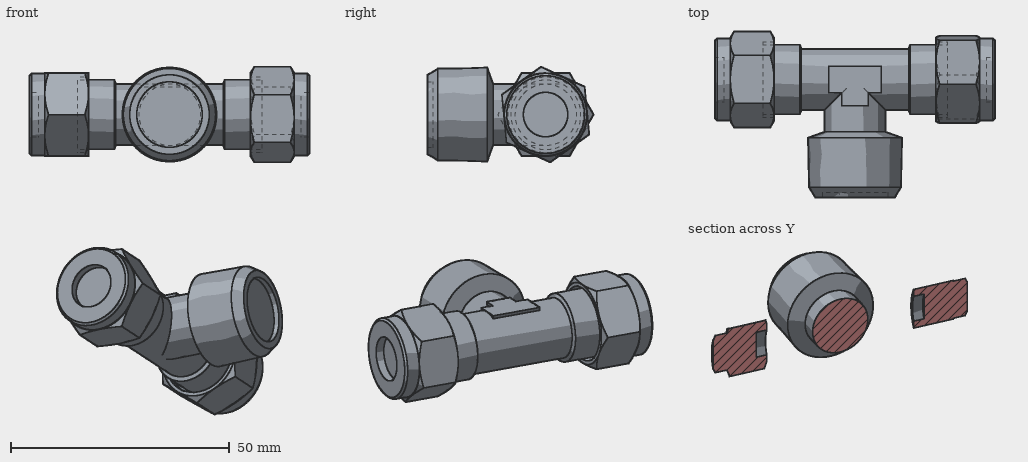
import cadquery as cq
import math

total_length = 64.0
tube_diameter = 14.0
tube_radius = tube_diameter / 2
shoulder_diameter = 15.95
shoulder_start = 12.2
shoulder_cone_length = 0.4
shoulder_cone_height = (shoulder_diameter - tube_diameter) / 2

nut_start = 18.5
nut_width = 10.0
nut_across_flats = 19.0
nut_corner_diameter = nut_across_flats * 2 / math.sqrt(3)
nut_corner_radius = nut_corner_diameter / 2
nut_face_radius = nut_across_flats / 2
nut_chamfer_angle = 30.0
left_nut_turn = 0.0
right_nut_turn = -24.5
nut_recess_radius = 8.65
nut_recess_depth = 2.55
collar_radius = 9.4
collar_chamfer = 0.5
tube_socket_diameter = 10.2
tube_socket_depth = 2.0

branch_length = 27.0
plug_start = 12.0
plug_shoulder = 13.3
plug_taper_end = 24.6
plug_large_diameter = 21.6
plug_small_diameter = 21.05
plug_tip_radius = 9.1
plug_bore_diameter = 15.0
plug_bore_depth = 1.3

pad_top = 7.05
pad_unit = 3.0
pad_bar_length = 4 * pad_unit
pad_width = 2 * pad_unit

half_length = total_length / 2
nut_end = nut_start + nut_width


def nut(turn):
    """Hexagon with both faces chamfered, its near face at x = nut_start."""
    hexagon = (
        cq.Workplane("YZ", origin=(nut_start, 0, 0))
        .polygon(6, nut_corner_diameter)
        .extrude(nut_width)
        .rotate((0, 0, 0), (1, 0, 0), turn)
    )
    chamfer = (nut_corner_radius - nut_face_radius) * math.tan(math.radians(nut_chamfer_angle))
    envelope = (
        cq.Workplane("XY")
        .moveTo(nut_start, 0)
        .lineTo(nut_start, nut_face_radius)
        .lineTo(nut_start + chamfer, nut_corner_radius)
        .lineTo(nut_end - chamfer, nut_corner_radius)
        .lineTo(nut_end, nut_face_radius)
        .lineTo(nut_end, 0)
        .close()
        .revolve(360, (0, 0, 0), (1, 0, 0))
    )
    return hexagon.intersect(envelope)


def run_end(turn):
    """Shoulder, nut and collar of the +X end, with a ring-shaped gap between shoulder and nut."""
    shoulder = (
        cq.Workplane("YZ", origin=(shoulder_start, 0, 0))
        .circle(shoulder_diameter / 2)
        .extrude(nut_end - shoulder_start)
        .faces("<X")
        .chamfer(shoulder_cone_length, shoulder_cone_height)
    )
    collar = (
        cq.Workplane("YZ", origin=(nut_start, 0, 0))
        .circle(collar_radius)
        .extrude(half_length - nut_start)
        .faces(">X")
        .chamfer(collar_chamfer)
    )
    socket = (
        cq.Workplane("YZ", origin=(half_length - tube_socket_depth, 0, 0))
        .circle(tube_socket_diameter / 2)
        .extrude(tube_socket_depth)
    )
    recess = (
        cq.Workplane("YZ", origin=(nut_start, 0, 0))
        .circle(nut_recess_radius)
        .extrude(nut_recess_depth)
    )
    nut_and_collar = nut(turn).union(collar).cut(recess)
    return nut_and_collar.union(shoulder).cut(socket)


def branch():
    """Branch tube and tapered plug, revolved about the Y axis."""
    solid = (
        cq.Workplane("XY")
        .moveTo(0, 0)
        .lineTo(tube_radius, 0)
        .lineTo(tube_radius, -plug_start)
        .lineTo(plug_large_diameter / 2, -plug_shoulder)
        .lineTo(plug_small_diameter / 2, -plug_taper_end)
        .lineTo(plug_tip_radius, -branch_length)
        .lineTo(0, -branch_length)
        .close()
        .revolve(360, (0, 0, 0), (0, 1, 0))
    )
    return solid.faces("<Y").workplane().hole(plug_bore_diameter, plug_bore_depth)


def pad():
    """T-shaped pad: a bar along the run and a short stem along the branch."""
    bar = cq.Workplane("XY").rect(pad_bar_length, pad_width).extrude(pad_top)
    stem = (
        cq.Workplane("XY", origin=(0, -pad_width / 2, 0))
        .rect(pad_width, pad_width)
        .extrude(pad_top)
    )
    return bar.union(stem)


run_tube = cq.Workplane("YZ").circle(tube_radius).extrude(nut_start, both=True)
right_end = run_end(right_nut_turn)
left_end = run_end(left_nut_turn).mirror("YZ")

result = run_tube.union(branch()).union(pad()).union(right_end).union(left_end)